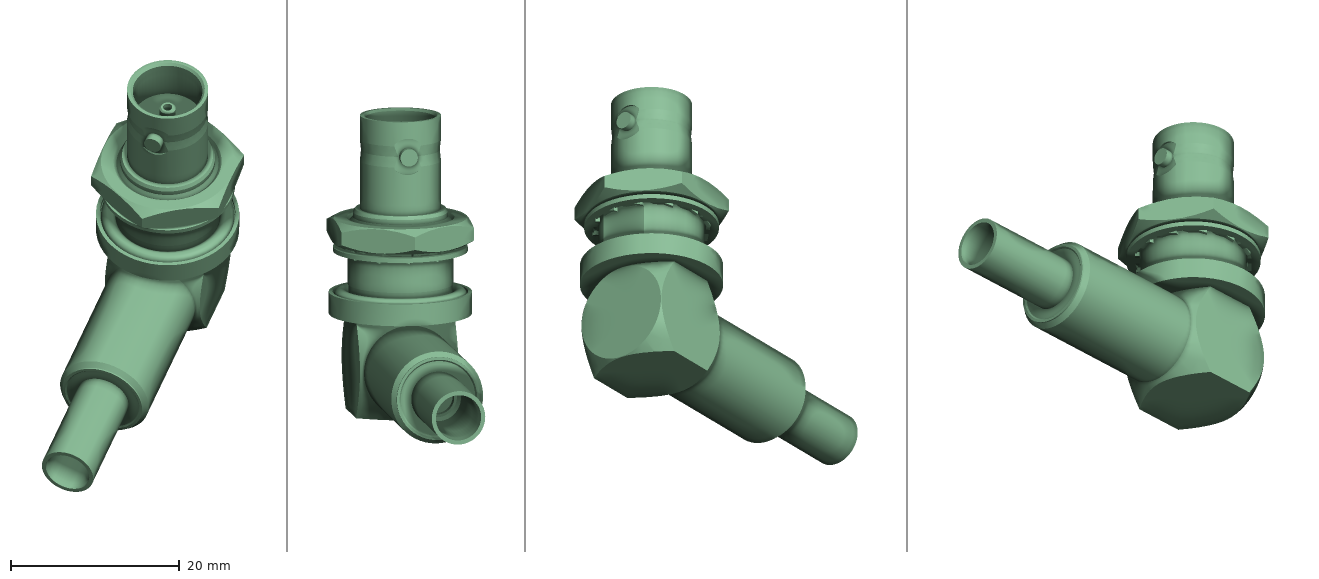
import cadquery as cq
import math


OVERALL_LENGTH = 45.45

BLOCK_SIZE = 11.9
BLOCK_HALF = BLOCK_SIZE / 2
BLOCK_BACK_RADIUS = 5.9

BOOT_RADIUS = 5.55
BOOT_END = 23.65
BOOT_CHAMFER = 0.55
BOOT_LIP_LENGTH = 0.2
BOOT_MOUTH_RADIUS = 4.7
BOOT_RECESS_RADIUS = 4.5
BOOT_RECESS_DEPTH = 0.2
TUBE_RADIUS = 3.23
TUBE_BORE_RADIUS = 2.73
TUBE_BORE_TAPER_RADIUS = 2.3
TUBE_PILOT_RADIUS = 2.0
TUBE_PILOT_DEPTH = 0.9

FLANGE_RADIUS = 8.5
FLANGE_BOTTOM = BLOCK_HALF
FLANGE_TOP = FLANGE_BOTTOM + 2.65
SEAL_SECTION_RADIUS = 0.85
SEAL_RISE = 0.4
SEAL_GROOVE_OUTER_RADIUS = 8.05

NECK_RADIUS = 6.2
THREAD_RADIUS = 6.25
THREAD_BOTTOM = 9.55
NECK_FLAT_Y = 5.5
COLLAR_RADIUS = 5.65
COLLAR_BASE = 17.65
COLLAR_TOP = 18.65
COLLAR_CHAMFER_WIDTH = 0.23
COLLAR_CHAMFER_HEIGHT = 0.4

BARREL_RADIUS = 4.8
BARREL_TOP = 29.85
BARREL_BORE_RADIUS = 4.15
BARREL_BORE_DEPTH = 5.05
BARREL_MOUTH_CHAMFER = 0.25
BAYONET_HEIGHT = 25.67
GROOVE_RADIUS = 4.7
GROOVE_HALF_WIDTH = 1.25
LUG_RADIUS = 1.05
LUG_TIP = 5.5
LUG_SEAT_RADIUS = 2.2
LUG_SEAT_Y = 4.55

CONTACT_RADIUS = 0.95
CONTACT_HEIGHT = 2.0
CONTACT_CHAMFER = 0.2
CONTACT_BORE_RADIUS = 0.55
CONTACT_BORE_DEPTH = 1.8

NUT_ACROSS_FLATS = 16.0
NUT_BOTTOM = 14.5
NUT_TOP = 17.55
NUT_FACE_RADIUS = 7.9
NUT_CHAMFER_ANGLE = 30.0
NUT_MINOR_RADIUS = 5.85
NUT_MOUTH_RADIUS = 6.4

WASHER_RADIUS = 8.0
WASHER_RIM_INNER_RADIUS = 6.9
WASHER_THICKNESS = 0.55
WASHER_BOTTOM = 13.5
TOOTH_COUNT = 12
TOOTH_TIP_RADIUS = 6.4
TOOTH_BEND = 0.35
TOOTH_WIDTH = 3.25
TOOTH_FLAT_WIDTH = 1.2


def disc(radius, bottom, top):
    """Cylinder on the jack axis between two heights."""
    return cq.Workplane("XY").workplane(offset=bottom).circle(radius).extrude(top - bottom)


def turned_about_z(points):
    """Solid turned about the jack axis from (radius, height) points."""
    return cq.Workplane("XZ").polyline(points).close().revolve(360, (0, 0), (0, 1))


def turned_about_y(points):
    """Solid turned about the cable axis from (radius, y) points."""
    return cq.Workplane("XY").polyline(points).close().revolve(360, (0, 0), (0, 1))


def make_elbow_block():
    """Cube whose corners are turned off by 45 degree cones at both Y ends."""
    corner_radius = BLOCK_HALF * math.sqrt(2)
    front_run = corner_radius - BOOT_RADIUS
    back_run = corner_radius - BLOCK_BACK_RADIUS
    envelope = turned_about_y([
        (0, -BLOCK_HALF),
        (BOOT_RADIUS, -BLOCK_HALF),
        (corner_radius, -BLOCK_HALF + front_run),
        (corner_radius, BLOCK_HALF - back_run),
        (BLOCK_BACK_RADIUS, BLOCK_HALF),
        (0, BLOCK_HALF),
    ])
    return cq.Workplane("XY").box(BLOCK_SIZE, BLOCK_SIZE, BLOCK_SIZE).intersect(envelope)


def make_boot_and_tube():
    """Chamfered boot with a shallow end recess, and the cable tube leaving it."""
    lip_start = -BOOT_END + BOOT_LIP_LENGTH
    recess_floor = -BOOT_END + BOOT_RECESS_DEPTH
    tube_end = NUT_ACROSS_FLATS / math.sqrt(3) - OVERALL_LENGTH
    bore_end = -BOOT_END
    taper_end = bore_end + (TUBE_BORE_RADIUS - TUBE_BORE_TAPER_RADIUS)
    return turned_about_y([
        (0, 0),
        (BOOT_RADIUS, 0),
        (BOOT_RADIUS, lip_start + BOOT_CHAMFER),
        (BOOT_RADIUS - BOOT_CHAMFER, lip_start),
        (BOOT_RADIUS - BOOT_CHAMFER, -BOOT_END),
        (BOOT_MOUTH_RADIUS, -BOOT_END),
        (BOOT_RECESS_RADIUS, recess_floor),
        (TUBE_RADIUS, recess_floor),
        (TUBE_RADIUS, tube_end),
        (TUBE_BORE_RADIUS, tube_end),
        (TUBE_BORE_RADIUS, bore_end),
        (TUBE_BORE_TAPER_RADIUS, taper_end),
        (TUBE_PILOT_RADIUS, taper_end),
        (TUBE_PILOT_RADIUS, taper_end + TUBE_PILOT_DEPTH),
        (0, taper_end + TUBE_PILOT_DEPTH),
    ])


def make_flange():
    """Flange with a groove holding the rounded sealing ring around the neck."""
    seal_centre_radius = NECK_RADIUS + SEAL_SECTION_RADIUS
    seal_centre_height = FLANGE_TOP + SEAL_RISE - SEAL_SECTION_RADIUS
    groove = disc(SEAL_GROOVE_OUTER_RADIUS, seal_centre_height, FLANGE_TOP)
    groove = groove.cut(disc(NECK_RADIUS, seal_centre_height, FLANGE_TOP))
    seal = (
        cq.Workplane("XZ")
        .center(seal_centre_radius, seal_centre_height)
        .circle(SEAL_SECTION_RADIUS)
        .revolve(360, (-seal_centre_radius, 0), (-seal_centre_radius, 1))
    )
    return disc(FLANGE_RADIUS, FLANGE_BOTTOM, FLANGE_TOP).cut(groove).union(seal)


def make_neck():
    """Threaded neck with a chamfered collar on top and one flat on the +Y side."""
    thread_top = COLLAR_BASE - (THREAD_RADIUS - COLLAR_RADIUS)
    neck = turned_about_z([
        (0, FLANGE_BOTTOM),
        (NECK_RADIUS, FLANGE_BOTTOM),
        (NECK_RADIUS, THREAD_BOTTOM),
        (THREAD_RADIUS, THREAD_BOTTOM),
        (THREAD_RADIUS, thread_top),
        (COLLAR_RADIUS, COLLAR_BASE),
        (COLLAR_RADIUS, COLLAR_TOP - COLLAR_CHAMFER_HEIGHT),
        (COLLAR_RADIUS - COLLAR_CHAMFER_WIDTH, COLLAR_TOP),
        (0, COLLAR_TOP),
    ])
    flat_depth = THREAD_RADIUS - NECK_FLAT_Y
    flat_cut = (
        cq.Workplane("XY")
        .workplane(offset=FLANGE_TOP)
        .center(0, NECK_FLAT_Y + flat_depth / 2)
        .rect(2 * THREAD_RADIUS, flat_depth)
        .extrude(COLLAR_TOP - FLANGE_TOP)
    )
    return neck.cut(flat_cut)


def make_lug(side):
    """Bayonet lug on the -Y side (side = -1) or the +Y side (side = 1)."""
    lug = cq.Workplane("XZ").center(0, BAYONET_HEIGHT).circle(LUG_RADIUS)
    start = BARREL_BORE_RADIUS + BARREL_MOUTH_CHAMFER
    return lug.extrude(LUG_TIP - start).translate((0, LUG_TIP if side > 0 else -start, 0))


def make_lug_seat_cut(side):
    """Round cutter that leaves a flat seat around a lug."""
    cutter = cq.Workplane("XZ").center(0, BAYONET_HEIGHT).circle(LUG_SEAT_RADIUS)
    return cutter.extrude(LUG_TIP - LUG_SEAT_Y).translate((0, LUG_TIP if side > 0 else -LUG_SEAT_Y, 0))


def make_barrel():
    """Open barrel with a V groove, and two lugs on flat seats."""
    floor = BARREL_TOP - BARREL_BORE_DEPTH
    barrel = turned_about_z([
        (0, FLANGE_TOP),
        (BARREL_RADIUS, FLANGE_TOP),
        (BARREL_RADIUS, BAYONET_HEIGHT - GROOVE_HALF_WIDTH),
        (GROOVE_RADIUS, BAYONET_HEIGHT),
        (BARREL_RADIUS, BAYONET_HEIGHT + GROOVE_HALF_WIDTH),
        (BARREL_RADIUS, BARREL_TOP),
        (BARREL_BORE_RADIUS + BARREL_MOUTH_CHAMFER, BARREL_TOP),
        (BARREL_BORE_RADIUS, BARREL_TOP - BARREL_MOUTH_CHAMFER),
        (BARREL_BORE_RADIUS, floor),
        (0, floor),
    ])
    for side in (-1, 1):
        barrel = barrel.cut(make_lug_seat_cut(side)).union(make_lug(side))
    return barrel


def make_contact():
    """Hollow centre contact standing on the barrel floor."""
    floor = BARREL_TOP - BARREL_BORE_DEPTH
    contact = disc(CONTACT_RADIUS, floor, floor + CONTACT_HEIGHT).faces(">Z").chamfer(CONTACT_CHAMFER)
    return contact.faces(">Z").workplane().circle(CONTACT_BORE_RADIUS).cutBlind(-CONTACT_BORE_DEPTH)


def make_connector():
    connector = make_elbow_block()
    for feature in (make_boot_and_tube(), make_neck(), make_flange(), make_barrel(), make_contact()):
        connector = connector.union(feature)
    return connector


def make_nut():
    """Hexagonal nut with corners along Y, fitted to the neck and its flat."""
    corner_radius = NUT_ACROSS_FLATS / math.sqrt(3)
    corner_drop = (corner_radius - NUT_FACE_RADIUS) * math.tan(math.radians(NUT_CHAMFER_ANGLE))
    hexagon = (
        cq.Workplane("XY")
        .workplane(offset=NUT_BOTTOM)
        .polygon(6, 2 * corner_radius)
        .extrude(NUT_TOP - NUT_BOTTOM)
        .rotate((0, 0, 0), (0, 0, 1), 30)
    )
    mouth_depth = NUT_MOUTH_RADIUS - NUT_MINOR_RADIUS
    envelope = turned_about_z([
        (NUT_MOUTH_RADIUS, NUT_BOTTOM),
        (NUT_FACE_RADIUS, NUT_BOTTOM),
        (corner_radius, NUT_BOTTOM + corner_drop),
        (corner_radius, NUT_TOP - corner_drop),
        (NUT_FACE_RADIUS, NUT_TOP),
        (NUT_MOUTH_RADIUS, NUT_TOP),
        (NUT_MINOR_RADIUS, NUT_TOP - mouth_depth),
        (NUT_MINOR_RADIUS, NUT_BOTTOM + mouth_depth),
    ])
    return hexagon.intersect(envelope).cut(make_neck())


def make_tooth(angle):
    """Twisted washer tooth: one edge bent up, the other bent down."""
    half_thickness = WASHER_THICKNESS / 2
    edge = TOOTH_WIDTH / 2
    flat = TOOTH_FLAT_WIDTH / 2
    tooth = (
        cq.Workplane("YZ")
        .workplane(offset=TOOTH_TIP_RADIUS)
        .center(0, WASHER_BOTTOM + half_thickness)
        .polyline([
            (-edge, half_thickness + TOOTH_BEND),
            (-flat, half_thickness),
            (flat, half_thickness),
            (edge, half_thickness - TOOTH_BEND),
            (edge, -half_thickness - TOOTH_BEND),
            (flat, -half_thickness),
            (-flat, -half_thickness),
            (-edge, TOOTH_BEND - half_thickness),
        ])
        .close()
        .extrude(WASHER_RIM_INNER_RADIUS - TOOTH_TIP_RADIUS)
    )
    return tooth.rotate((0, 0, 0), (0, 0, 1), angle)


def make_washer():
    """Flat rim with a ring of twisted teeth on its inner edge."""
    washer_top = WASHER_BOTTOM + WASHER_THICKNESS
    rim_bore = disc(WASHER_RIM_INNER_RADIUS, WASHER_BOTTOM, washer_top)
    washer = disc(WASHER_RADIUS, WASHER_BOTTOM, washer_top).cut(rim_bore)
    tooth_step = 360 / TOOTH_COUNT
    for index in range(TOOTH_COUNT):
        washer = washer.union(make_tooth((index + 0.5) * tooth_step))
    return washer


connector = make_connector()
nut = make_nut()
lock_washer = make_washer()

result = cq.Compound.makeCompound([connector.solids().val(), nut.solids().val(), lock_washer.solids().val()])